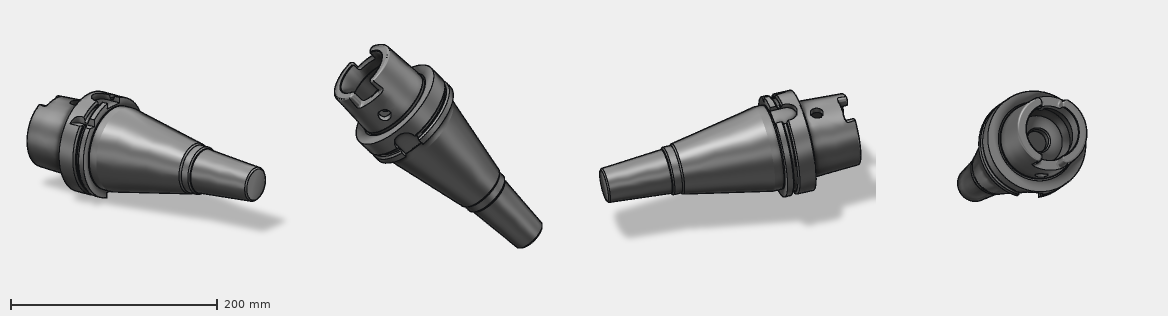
import cadquery as cq
import math

LENGTH = 250.0
FLANGE_START = 50.0
FLANGE_END = 79.0
NECK_END = 89.0
CONE_END = 175.8
COLLAR_START = 177.5
COLLAR_END = 185.2
NOSE_START = 187.5

FLANGE_RADIUS = 50.0
NECK_RADIUS = 42.0
CONE_END_RADIUS = 25.2
COLLAR_RADIUS = 23.8
COLLAR_CHAMFER = 1.5
NOSE_TIP_RADIUS = 17.0
NOSE_HALF_ANGLE = 4.5
NOSE_CHAMFER = 1.5
NECK_STEP_WIDTH = 1.2
NECK_STEP_DEPTH = 0.12

TAPER_MOUTH_RADIUS = 35.5
TAPER_SLOPE = 0.05
MOUTH_ROUND = 2.0
RELIEF_WIDTH = 2.8
RELIEF_DEPTH = 0.5
RELIEF_RAMP = 0.8
FACE_RECESS_RADIUS = 39.2
FACE_RECESS_DEPTH = 0.8

BORE_RADIUS = 26.5
BORE_CHAMFER = 0.8
CLAMP_LIP_LENGTH = 19.0
CLAMP_BORE_RADIUS = 30.5
CLAMP_SHOULDER_ANGLE = 30.0
CLAMP_BORE_END = 39.5
BORE_FLOOR_RADIUS = 24.5
BORE_DEPTH = 45.5
CENTRE_HOLE_RADIUS = 11.0
CENTRE_HOLE_CHAMFER = 1.5
CENTRE_HOLE_DEPTH = 10.0

CROSS_HOLE_X = 34.8
CROSS_HOLE_RADIUS = 6.2

SLOT_HALF_WIDTH = 10.5
SLOT_SHOULDER_Z = 32.0
SLOT_EDGE_ROUND = 4.5
SLOT_FLOOR_ROUND = 2.5
UPPER_SLOT_DEPTH = 10.0
LOWER_SLOT_DEPTH = 15.0

GROOVE_CENTRE = 69.8
GROOVE_BOTTOM_RADIUS = 46.0
GROOVE_BOTTOM_WIDTH = 3.8
GROOVE_BOTTOM_ROUND = 0.8
GROOVE_WALL_RADIUS = 47.5
GROOVE_WALL_ANGLE = 30.0

KEYWAY_START = 55.0
KEYWAY_FLOOR = 43.5
UPPER_KEYWAY_RADIUS = 10.0
LOWER_KEYWAY_RADIUS = 11.0
NOTCH_RADIUS = 7.8
NOTCH_INNER_Y = -31.8
NOTCH_FLOOR = 31.5


def revolve(points):
    """Revolve an (x, radius) outline about the X axis."""
    return cq.Workplane("XY").polyline(points).close().revolve(360, (0, 0, 0), (1, 0, 0))


def taper_radius(x):
    return TAPER_MOUTH_RADIUS + TAPER_SLOPE * x


def turned_body():
    relief_start = FLANGE_START - RELIEF_WIDTH
    relief_radius = taper_radius(relief_start) - RELIEF_DEPTH
    recess_floor = FLANGE_START + FACE_RECESS_DEPTH
    step_radius = NECK_RADIUS - NECK_STEP_DEPTH
    nose_radius = NOSE_TIP_RADIUS + (LENGTH - NOSE_START) * math.tan(math.radians(NOSE_HALF_ANGLE))
    return revolve([
        (0, 0),
        (0, TAPER_MOUTH_RADIUS),
        (relief_start, taper_radius(relief_start)),
        (relief_start + RELIEF_RAMP, relief_radius),
        (recess_floor, relief_radius),
        (FLANGE_START, FACE_RECESS_RADIUS),
        (FLANGE_START, FLANGE_RADIUS),
        (FLANGE_END, FLANGE_RADIUS),
        (FLANGE_END, step_radius),
        (FLANGE_END + NECK_STEP_WIDTH, step_radius),
        (FLANGE_END + NECK_STEP_WIDTH, NECK_RADIUS),
        (NECK_END, NECK_RADIUS),
        (CONE_END, CONE_END_RADIUS),
        (COLLAR_START, COLLAR_RADIUS),
        (COLLAR_END, COLLAR_RADIUS),
        (COLLAR_END + COLLAR_CHAMFER, COLLAR_RADIUS - COLLAR_CHAMFER),
        (NOSE_START, nose_radius),
        (LENGTH - NOSE_CHAMFER, NOSE_TIP_RADIUS),
        (LENGTH, NOSE_TIP_RADIUS - NOSE_CHAMFER),
        (LENGTH, 0),
    ])


def bore():
    shoulder = (CLAMP_BORE_RADIUS - BORE_RADIUS) * math.tan(math.radians(CLAMP_SHOULDER_ANGLE))
    hole_end = BORE_DEPTH + CENTRE_HOLE_DEPTH
    return revolve([
        (0, 0),
        (0, BORE_RADIUS + BORE_CHAMFER),
        (BORE_CHAMFER, BORE_RADIUS),
        (CLAMP_LIP_LENGTH, BORE_RADIUS),
        (CLAMP_LIP_LENGTH + shoulder, CLAMP_BORE_RADIUS),
        (CLAMP_BORE_END, CLAMP_BORE_RADIUS),
        (BORE_DEPTH, BORE_FLOOR_RADIUS),
        (BORE_DEPTH, CENTRE_HOLE_RADIUS + CENTRE_HOLE_CHAMFER),
        (BORE_DEPTH + CENTRE_HOLE_CHAMFER, CENTRE_HOLE_RADIUS),
        (hole_end, CENTRE_HOLE_RADIUS),
        (hole_end, 0),
    ])


def flange_groove():
    """V groove with a narrow straight-sided channel and rounded corners at its bottom."""
    half_bottom = GROOVE_BOTTOM_WIDTH / 2
    depth = FLANGE_RADIUS - GROOVE_WALL_RADIUS
    half_top = half_bottom + depth * math.tan(math.radians(GROOVE_WALL_ANGLE))
    groove = revolve([
        (GROOVE_CENTRE - half_bottom, GROOVE_BOTTOM_RADIUS),
        (GROOVE_CENTRE - half_bottom, GROOVE_WALL_RADIUS),
        (GROOVE_CENTRE - half_top, FLANGE_RADIUS),
        (GROOVE_CENTRE + half_top, FLANGE_RADIUS),
        (GROOVE_CENTRE + half_bottom, GROOVE_WALL_RADIUS),
        (GROOVE_CENTRE + half_bottom, GROOVE_BOTTOM_RADIUS),
    ])
    bottom_edges = cq.selectors.RadiusNthSelector(0)
    return groove.edges(bottom_edges).fillet(GROOVE_BOTTOM_ROUND)


def drive_slot(depth):
    """Slot through the upper shank wall, with rounded shoulders and a rounded floor."""
    shoulder_y = SLOT_HALF_WIDTH + SLOT_EDGE_ROUND
    arc_centre_z = SLOT_SHOULDER_Z - SLOT_EDGE_ROUND
    arc_reach = SLOT_EDGE_ROUND * math.sqrt(0.5)
    arc_mid = (shoulder_y - arc_reach, arc_centre_z + arc_reach)
    outer = FLANGE_RADIUS
    return (
        cq.Workplane("YZ")
        .moveTo(-SLOT_HALF_WIDTH, 0)
        .lineTo(SLOT_HALF_WIDTH, 0)
        .lineTo(SLOT_HALF_WIDTH, arc_centre_z)
        .threePointArc(arc_mid, (shoulder_y, SLOT_SHOULDER_Z))
        .lineTo(outer, SLOT_SHOULDER_Z)
        .lineTo(outer, outer)
        .lineTo(-outer, outer)
        .lineTo(-outer, SLOT_SHOULDER_Z)
        .lineTo(-shoulder_y, SLOT_SHOULDER_Z)
        .threePointArc((-arc_mid[0], arc_mid[1]), (-SLOT_HALF_WIDTH, arc_centre_z))
        .close()
        .extrude(depth)
        .faces(">X").edges().fillet(SLOT_FLOOR_ROUND)
    )


def round_ended_slot(centre_y, radius, floor):
    """Slot sunk down to the given height, round at its start and open at the flange back."""
    centre_x = KEYWAY_START + radius
    height = FLANGE_RADIUS - floor
    straight = FLANGE_END - centre_x
    plane = cq.Workplane("XY", origin=(centre_x, centre_y, floor))
    round_end = plane.circle(radius).extrude(height)
    run_out = plane.rect(straight, 2 * radius).extrude(height).translate((straight / 2, 0, 0))
    return round_end.union(run_out)


def turned_over(tool):
    return tool.rotate((0, 0, 0), (1, 0, 0), 180)


def cross_hole():
    return (
        cq.Workplane("XY", origin=(CROSS_HOLE_X, 0, -FLANGE_RADIUS))
        .circle(CROSS_HOLE_RADIUS)
        .extrude(2 * FLANGE_RADIUS)
    )


def slotted_body():
    """Turned body with its drive slots cut and its mouth edges rounded."""
    body = turned_body().cut(drive_slot(UPPER_SLOT_DEPTH))
    body = body.cut(turned_over(drive_slot(LOWER_SLOT_DEPTH)))
    return body.faces("<X").edges().fillet(MOUTH_ROUND)


result = slotted_body().cut(bore()).cut(cross_hole()).cut(flange_groove())
result = result.cut(round_ended_slot(0, UPPER_KEYWAY_RADIUS, KEYWAY_FLOOR))
result = result.cut(turned_over(round_ended_slot(0, LOWER_KEYWAY_RADIUS, KEYWAY_FLOOR)))
result = result.cut(round_ended_slot(NOTCH_INNER_Y - NOTCH_RADIUS, NOTCH_RADIUS, NOTCH_FLOOR))